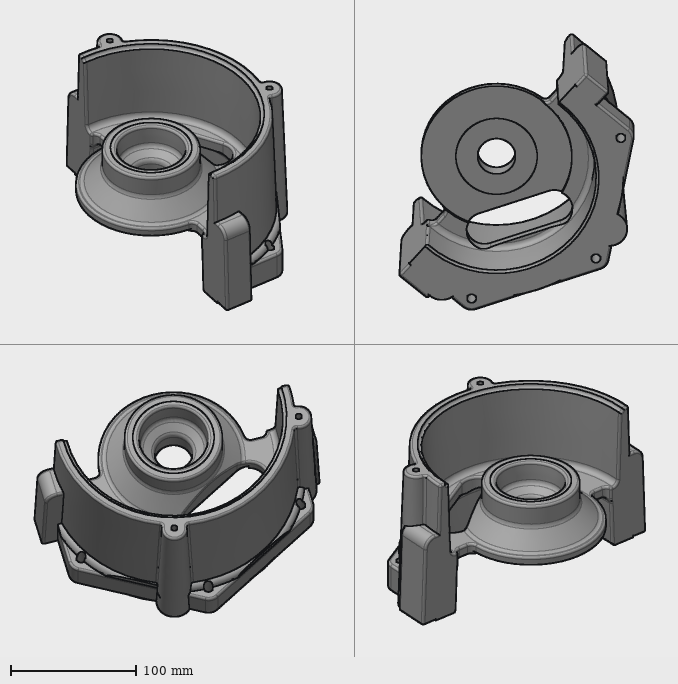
import cadquery as cq
import math

HEIGHT = 125.0
CUT_Y = -4.8
DRAFT = 2.0
EDGE_R = 2.0
BLEND_R = 5.0
TINY = 0.02
HALF_SPAN = 114.4
REACH = 137.2
OVERSHOOT = 2.3

WALL_TOP_R = 96.8
CAVITY_TOP_R = 87.4
FLOOR_Z = 55.4
WEB_Z = 45.0
RIM_ROUND_R = 3.0
LOWER_CAVITY_R = 78.0

RIM_R = 60.2
RIM_Z = 48.0
COLLAR_R = 39.1
COLLAR_TOP_Z = 90.4
CONE_BASE_R = 55.1

BUSH_R = 32.5
BUSH_MOUTH_R = 27.7
FUNNEL_TOP_R = 26.8
FUNNEL_TOP_Z = 71.8
FUNNEL_BOTTOM_Z = 65.2
BORE_R = 15.0

SLOT_ANGLE = 120.0
SLOT_DISTANCE = 56.0
SLOT_R = 14.5
SLOT_CENTRES = 59.0

FLANGE_TOP_Z = 24.7
FLANGE_HOLES_R = 105.0
FLANGE_HOLE_ANGLES = (30, 90, 150)
FLANGE_HOLE_R = 3.7
FLANGE_LUG_R = 10.3

BOSS_PITCH_R = 100.0
BOSS_ANGLES = (75, 165)
BOSS_TOP_R = 10.0
BOSS_HOLE_R = 2.5
BOSS_HOLE_DEPTH = 18.3

PAD_TOP_Z = 80.0
PAD_ROUND_R = 10.0
LEFT_PAD_Y = 26.0
RIGHT_PAD_Y = 20.1
PAD_INNER_X = 91.5

SLOPE = math.tan(math.radians(DRAFT))


def polar(radius, angle):
    return radius * math.cos(math.radians(angle)), radius * math.sin(math.radians(angle))


def turned(profile):
    """Solid of revolution about the Z axis, with its seam on the -Y side."""
    return profile.close().revolve(360, (0, 0), (0, 1))


def frustum(bottom_z, bottom_r, top_z, top_r):
    outline = [(0, bottom_z), (-bottom_r, bottom_z), (-top_r, top_z), (0, top_z)]
    return turned(cq.Workplane("YZ").polyline(outline))


def disc(radius, bottom_z, top_z):
    return cq.Workplane("XY").workplane(offset=bottom_z).circle(radius).extrude(top_z - bottom_z)


def round_edges(body, radius, wanted):
    """Fillet the edges for which wanted(edge, bounding box) is true."""
    edges = [edge for edge in body.edges().vals() if wanted(edge, edge.BoundingBox())]
    return body.newObject(edges).fillet(radius)


def round_circles(body, radius, circle_r, z):
    """Fillet the horizontal arcs of one radius about the Z axis at one level."""

    def wanted(edge, box):
        level = max(abs(box.zmin - z), abs(box.zmax - z)) < TINY
        start = edge.startPoint()
        return level and edge.geomType() == "CIRCLE" and abs(math.hypot(start.x, start.y) - circle_r) < TINY

    return round_edges(body, radius, wanted)


def flange_blend():
    """Ring that fills the corner between the flange and the wall with a concave arc."""
    wall_r = WALL_TOP_R + (HEIGHT - FLANGE_TOP_Z) * SLOPE
    top_z = FLANGE_TOP_Z + BLEND_R
    inner_r = wall_r - BLEND_R
    profile = (
        cq.Workplane("YZ")
        .moveTo(-inner_r, FLANGE_TOP_Z)
        .lineTo(-wall_r - BLEND_R, FLANGE_TOP_Z)
        .radiusArc((-wall_r + BLEND_R * SLOPE, top_z), BLEND_R)
        .lineTo(-inner_r, top_z)
    )
    return turned(profile)


def flange():
    """Plate whose straight sides are tangent to a round lug at each hole."""
    corner_r = FLANGE_HOLES_R + FLANGE_LUG_R / math.cos(math.radians(30))
    right, top, left = [polar(corner_r, angle) for angle in FLANGE_HOLE_ANGLES]
    outline = [(left[0], CUT_Y), (right[0], CUT_Y), right, top, left]
    blank = cq.Workplane("XY").polyline(outline).close().extrude(FLANGE_TOP_Z + BLEND_R)
    blank = round_edges(blank, FLANGE_LUG_R, lambda edge, box: box.zmax - box.zmin > 2.3 and box.ymin > 0)
    plate = blank.intersect(cq.Workplane("XY").rect(2 * REACH, 2 * REACH).extrude(FLANGE_TOP_Z))
    plate = round_edges(plate, EDGE_R, lambda edge, box: box.zmax - box.zmin < TINY and box.ymax > 0)
    return plate.union(blank.intersect(flange_blend()))


def pad(side, back_y):
    """Drafted block beside the wall with a rounded upper outer corner."""
    outline = [
        (side * PAD_INNER_X, 0),
        (side * HALF_SPAN, 0),
        (side * (HALF_SPAN - PAD_TOP_Z * SLOPE), PAD_TOP_Z),
        (side * PAD_INNER_X, PAD_TOP_Z),
    ]
    block = cq.Workplane("XZ", origin=(0, back_y, 0)).polyline(outline).close().extrude(back_y - CUT_Y)
    outer = ">X" if side > 0 else "<X"
    block = block.faces(">Z").edges(outer).fillet(PAD_ROUND_R)

    def outer_edge(edge, box):
        along_y = box.ymax - box.ymin > EDGE_R and box.zmin > TINY
        return abs(edge.Center().x) > PAD_INNER_X + TINY and not along_y

    return round_edges(block, EDGE_R, outer_edge)


def boss(angle):
    x, y = polar(BOSS_PITCH_R, angle)
    return frustum(0, BOSS_TOP_R + HEIGHT * SLOPE, HEIGHT, BOSS_TOP_R).translate((x, y, 0))


def outer_wall():
    """Solid half-round block with the flange, pads and bosses on its outside."""
    body = frustum(0, WALL_TOP_R + HEIGHT * SLOPE, HEIGHT, WALL_TOP_R)
    front = cq.Workplane("XY").box(2 * REACH, REACH, HEIGHT, centered=(True, False, False))
    body = body.intersect(front.translate((0, CUT_Y, 0)))
    body = body.union(flange())
    body = body.union(pad(-1, LEFT_PAD_Y))
    body = body.union(pad(1, RIGHT_PAD_Y))
    for angle in BOSS_ANGLES:
        body = body.union(boss(angle))

    def boss_corner(edge, box):
        return box.zmax > HEIGHT - TINY and box.zmin < HEIGHT - 2.3 and box.ymax > 0

    return round_edges(body, EDGE_R, boss_corner)


def upper_cavity():
    """Drafted bowl with a rounded floor edge and a flared mouth."""
    floor_r = CAVITY_TOP_R - (HEIGHT - FLOOR_Z) * SLOPE
    profile = (
        cq.Workplane("YZ")
        .moveTo(0, FLOOR_Z)
        .lineTo(-floor_r, FLOOR_Z)
        .lineTo(-CAVITY_TOP_R + RIM_ROUND_R * SLOPE, HEIGHT - RIM_ROUND_R)
        .radiusArc((-CAVITY_TOP_R - RIM_ROUND_R, HEIGHT), RIM_ROUND_R)
        .lineTo(-CAVITY_TOP_R - RIM_ROUND_R, HEIGHT + OVERSHOOT)
        .lineTo(0, HEIGHT + OVERSHOOT)
    )
    return turned(profile).faces("<Z").edges().fillet(BLEND_R)


def lower_cavity():
    """Drafted recess under the web with a rounded roof edge and a flared mouth."""
    mouth_r = LOWER_CAVITY_R + WEB_Z * SLOPE
    profile = (
        cq.Workplane("YZ")
        .moveTo(0, WEB_Z)
        .lineTo(-LOWER_CAVITY_R, WEB_Z)
        .lineTo(-mouth_r + EDGE_R * SLOPE, EDGE_R)
        .radiusArc((-mouth_r - EDGE_R, 0), -EDGE_R)
        .lineTo(-mouth_r - EDGE_R, -OVERSHOOT)
        .lineTo(0, -OVERSHOOT)
    )
    return turned(profile).faces(">Z").edges().fillet(BLEND_R)


def front_notch():
    """Clears the web in front of the hub axis, between the wall ends."""
    depth = -CUT_Y + BLEND_R
    bottom_z = WEB_Z - BLEND_R
    block = cq.Workplane("XY").box(2 * LOWER_CAVITY_R, depth, FLOOR_Z - bottom_z, centered=(True, False, False))
    return block.translate((0, -depth, bottom_z)).edges("|Z and >Y").fillet(BLEND_R)


def hub():
    """Rim, 45 degree cone and collar as one revolved profile."""
    cone_top_z = FLOOR_Z + CONE_BASE_R - COLLAR_R
    outline = [
        (0, WEB_Z),
        (-RIM_R, WEB_Z),
        (-RIM_R, FLOOR_Z),
        (-CONE_BASE_R, FLOOR_Z),
        (-COLLAR_R, cone_top_z),
        (-COLLAR_R, COLLAR_TOP_Z),
        (0, COLLAR_TOP_Z),
    ]
    body = turned(cq.Workplane("YZ").polyline(outline))
    body = round_circles(body, BLEND_R, COLLAR_R, cone_top_z)
    return round_circles(body, EDGE_R, COLLAR_R, COLLAR_TOP_Z)


def slot():
    x, y = polar(SLOT_DISTANCE, SLOT_ANGLE)
    length = SLOT_CENTRES + 2 * SLOT_R
    shape = cq.Workplane("XY").slot2D(length, 2 * SLOT_R, SLOT_ANGLE - 90).extrude(COLLAR_TOP_Z - WEB_Z)
    return shape.translate((x, y, WEB_Z - BLEND_R))


def add_hub(body):
    """Join the hub to the web and round the corners where they meet."""
    body = body.union(hub())

    def notch_corner(edge, box):
        upright = box.xmax - box.xmin < TINY and box.ymax - box.ymin < TINY
        return upright and box.zmax > FLOOR_Z - TINY and abs(math.hypot(box.xmin, box.ymin) - RIM_R) < TINY

    body = round_edges(body, BLEND_R, notch_corner)
    body = body.cut(disc(RIM_R, 0, RIM_Z))
    body = round_circles(body, BLEND_R, CONE_BASE_R, FLOOR_Z)
    return round_circles(body, EDGE_R, RIM_R, FLOOR_Z)


def cut_slot(body):
    """Cut the oblong opening and round its upper edge."""
    body = body.cut(slot())
    x, y = polar(SLOT_DISTANCE, SLOT_ANGLE)
    half = SLOT_CENTRES / 2 + SLOT_R + TINY

    def upper_edge(edge, box):
        across_x, across_y = polar(1, SLOT_ANGLE - 90)
        centre = edge.Center()
        along = (centre.x - x) * across_x + (centre.y - y) * across_y
        out = (centre.y - y) * across_x - (centre.x - x) * across_y
        inside = abs(along) < half and abs(out) < SLOT_R + TINY
        return inside and box.zmin > FLOOR_Z - TINY and box.zmax < COLLAR_TOP_Z - 2.3

    return round_edges(body, EDGE_R, upper_edge)


def make_housing():
    body = outer_wall().cut(upper_cavity()).cut(lower_cavity())

    def rim_edge(edge, box):
        start = edge.startPoint()
        return box.zmin > HEIGHT - TINY and box.ymax > CUT_Y + TINY and math.hypot(start.x, start.y) > WALL_TOP_R - 2.3

    body = round_edges(body, EDGE_R, rim_edge)

    def front_edge(edge, box):
        upright = box.zmax - box.zmin > 2.3
        return box.ymax < CUT_Y + TINY and upright and abs(edge.Center().x) < PAD_INNER_X + 9.2

    body = round_edges(body, EDGE_R, front_edge)
    body = body.cut(front_notch())
    body = cut_slot(add_hub(body))
    body = body.cut(disc(BUSH_R, 0, HEIGHT))
    for angle in FLANGE_HOLE_ANGLES:
        x, y = polar(FLANGE_HOLES_R, angle)
        body = body.cut(disc(FLANGE_HOLE_R, 0, FLANGE_TOP_Z + BLEND_R).translate((x, y, 0)))
    for angle in BOSS_ANGLES:
        x, y = polar(BOSS_PITCH_R, angle)
        body = body.cut(disc(BOSS_HOLE_R, HEIGHT - BOSS_HOLE_DEPTH, HEIGHT).translate((x, y, 0)))
    return body


def make_bush():
    """Straight sleeve with a funnel that narrows to the shaft bore."""
    outline = [
        (-BORE_R, RIM_Z),
        (-BUSH_R, RIM_Z),
        (-BUSH_R, COLLAR_TOP_Z),
        (-BUSH_MOUTH_R, COLLAR_TOP_Z),
        (-FUNNEL_TOP_R, FUNNEL_TOP_Z),
        (-BORE_R, FUNNEL_BOTTOM_Z),
    ]
    body = turned(cq.Workplane("YZ").polyline(outline))
    body = round_circles(body, EDGE_R, BUSH_MOUTH_R, COLLAR_TOP_Z)
    body = round_circles(body, BLEND_R, FUNNEL_TOP_R, FUNNEL_TOP_Z)
    return round_circles(body, BLEND_R, BORE_R, FUNNEL_BOTTOM_Z)


housing = make_housing()
bush = make_bush()
result = cq.Compound.makeCompound([housing.val(), bush.val()])